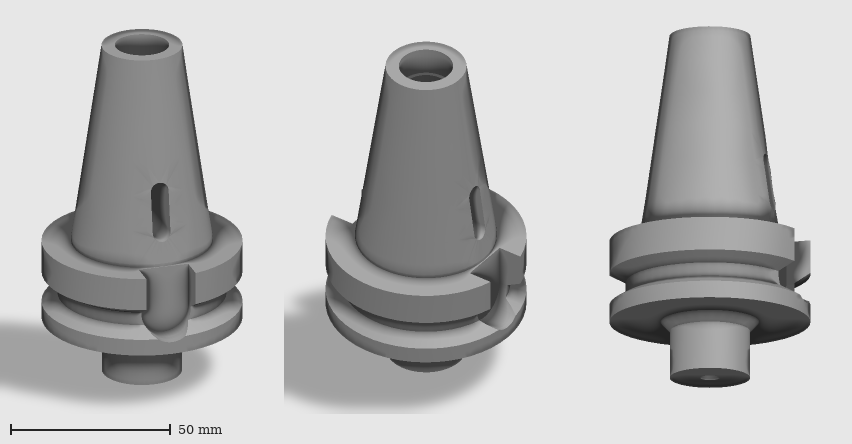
import cadquery as cq
import math

GAUGE_DIAMETER = 44.45
TAPER_RATE = 7 / 24
TAPER_LENGTH = 65.4
COLLAR_HEIGHT = 1.0

FLANGE_DIAMETER = 63.0
FLANGE_HEIGHT = 26.0
GROOVE_DIAMETER = 53.0
GROOVE_CENTRE_DEPTH = 15.6
GROOVE_FLOOR_WIDTH = 4.3
GROOVE_FLANK_ANGLE = 30.0

NOSE_DIAMETER = 25.2
NOSE_LENGTH = 15.0
NOSE_CONE_HEIGHT = 3.0
NOSE_CONE_TOP_DIAMETER = 31.0

DRIVE_SLOT_WIDTH = 16.2
DRIVE_SLOT_DEPTH = 22.0
DRIVE_SLOT_FLOOR_X = 22.5

CROSS_SLOT_WIDTH = 5.8
CROSS_SLOT_LENGTH = 19.0
CROSS_SLOT_BOTTOM = 7.9

BORE_DIAMETER = 17.0
BORE_DEPTH = 9.0
STEP_DIAMETER = 14.5
STEP_DEPTH = 21.0
THROUGH_DIAMETER = 6.0

top_z = COLLAR_HEIGHT + TAPER_LENGTH
nose_cone_bottom_z = -FLANGE_HEIGHT - NOSE_CONE_HEIGHT
bottom_z = nose_cone_bottom_z - NOSE_LENGTH
gauge_radius = GAUGE_DIAMETER / 2
small_end_radius = gauge_radius - TAPER_RATE * TAPER_LENGTH / 2
flange_radius = FLANGE_DIAMETER / 2


def revolved_body():
    """Solid of revolution: taper, collar, grooved flange and nose."""
    groove_radius = GROOVE_DIAMETER / 2
    floor_top_z = -GROOVE_CENTRE_DEPTH + GROOVE_FLOOR_WIDTH / 2
    floor_bottom_z = -GROOVE_CENTRE_DEPTH - GROOVE_FLOOR_WIDTH / 2
    flank_height = (flange_radius - groove_radius) * math.tan(math.radians(GROOVE_FLANK_ANGLE))
    profile = [
        (0, bottom_z),
        (NOSE_DIAMETER / 2, bottom_z),
        (NOSE_DIAMETER / 2, nose_cone_bottom_z),
        (NOSE_CONE_TOP_DIAMETER / 2, -FLANGE_HEIGHT),
        (flange_radius, -FLANGE_HEIGHT),
        (flange_radius, floor_bottom_z - flank_height),
        (groove_radius, floor_bottom_z),
        (groove_radius, floor_top_z),
        (flange_radius, floor_top_z + flank_height),
        (flange_radius, 0),
        (gauge_radius, 0),
        (gauge_radius, COLLAR_HEIGHT),
        (small_end_radius, top_z),
        (0, top_z),
    ]
    return cq.Workplane("XZ").polyline(profile).close().revolve(360, (0, 0), (0, 1))


def drive_slot(side):
    """Round-bottomed slot, open at the flange top and rim; side is +1 or -1 along X."""
    radius = DRIVE_SLOT_WIDTH / 2
    arc_centre_z = radius - DRIVE_SLOT_DEPTH
    outline = (
        cq.Workplane("YZ", origin=(side * DRIVE_SLOT_FLOOR_X, 0, 0))
        .moveTo(-radius, 0)
        .lineTo(-radius, arc_centre_z)
        .threePointArc((0, -DRIVE_SLOT_DEPTH), (radius, arc_centre_z))
        .lineTo(radius, 0)
        .close()
    )
    return outline.extrude(side * flange_radius)


def cross_slot():
    """Round-ended slot running through the taper along X."""
    centre_z = CROSS_SLOT_BOTTOM + CROSS_SLOT_LENGTH / 2
    return (
        cq.Workplane("YZ", origin=(0, 0, centre_z))
        .slot2D(CROSS_SLOT_LENGTH, CROSS_SLOT_WIDTH, 90)
        .extrude(gauge_radius, both=True)
    )


def hole_from_top(diameter, depth):
    """Axial cylinder going down from the small end of the taper."""
    return cq.Workplane("XY", origin=(0, 0, top_z)).circle(diameter / 2).extrude(-depth)


result = revolved_body()
for side in (-1, 1):
    result = result.cut(drive_slot(side))
result = result.cut(cross_slot())
result = result.cut(hole_from_top(BORE_DIAMETER, BORE_DEPTH))
result = result.cut(hole_from_top(STEP_DIAMETER, BORE_DEPTH + STEP_DEPTH))
result = result.cut(hole_from_top(THROUGH_DIAMETER, top_z - bottom_z))